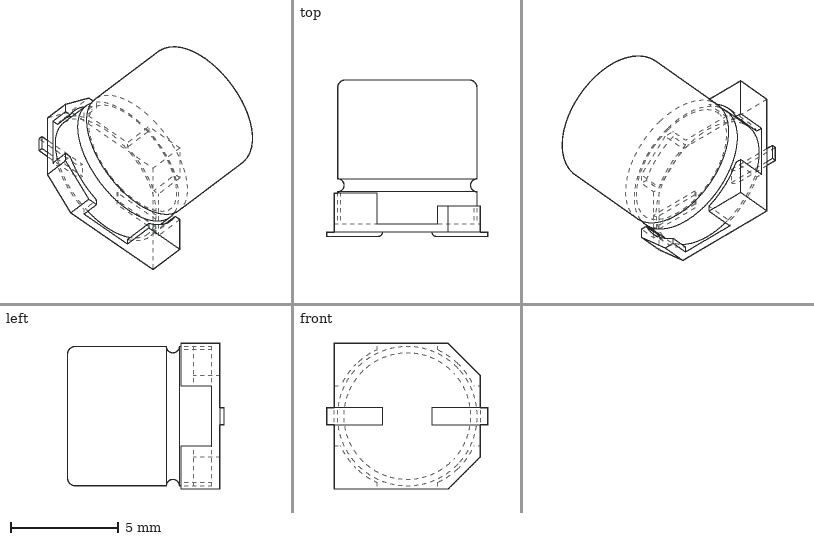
import cadquery as cq
import math


base_side = 6.8
corner_chamfer = 1.5
floor_thickness = 0.375
tall_post_top = 1.815
short_post_top = 1.22
seat_radius = base_side / 2
opening_width = 2.8

can_diameter = 6.5
can_radius = can_diameter / 2
can_rim_fillet = 0.375
groove_radius = 0.3
groove_center_y = 2.18

lead_span = 7.5
lead_length = 2.6
lead_width = 0.8
lead_thickness = 0.2

overall_length = 7.3
can_top = overall_length - lead_thickness


def block(x_range, y_range, z_range):
    """Box between the given limits on each axis."""
    size_x = x_range[1] - x_range[0]
    size_y = y_range[1] - y_range[0]
    size_z = z_range[1] - z_range[0]
    corner = (x_range[0], y_range[0], z_range[0])
    return cq.Workplane("XY").box(size_x, size_y, size_z, centered=False).translate(corner)


def make_base():
    """Square base with two chamfered corners and four posts around the can."""
    half_side = base_side / 2
    half_opening = opening_width / 2
    full_side = (-half_side, half_side)
    opening = (-half_opening, half_opening)
    above_floor = (floor_thickness, tall_post_top)

    base = block(full_side, (0, tall_post_top), full_side)
    base = base.edges("|Y and >X").chamfer(corner_chamfer)

    base = base.cut(block(full_side, above_floor, opening))
    base = base.cut(block(opening, above_floor, full_side))

    base = base.cut(block((half_opening, half_side), (short_post_top, tall_post_top), full_side))

    seat = (
        cq.Workplane("XZ", origin=(0, floor_thickness, 0))
        .circle(seat_radius)
        .extrude(floor_thickness - tall_post_top)
    )
    return base.cut(seat)


def make_can():
    """Revolved can with a crimp groove and a rounded closed end."""
    rim_center_x = can_radius - can_rim_fillet
    rim_center_y = can_top - can_rim_fillet
    rim_diagonal = can_rim_fillet * math.sqrt(0.5)
    return (
        cq.Workplane("XY")
        .moveTo(0, floor_thickness)
        .lineTo(can_radius, floor_thickness)
        .lineTo(can_radius, groove_center_y - groove_radius)
        .threePointArc(
            (can_radius - groove_radius, groove_center_y),
            (can_radius, groove_center_y + groove_radius),
        )
        .lineTo(can_radius, rim_center_y)
        .threePointArc(
            (rim_center_x + rim_diagonal, rim_center_y + rim_diagonal),
            (rim_center_x, can_top),
        )
        .lineTo(0, can_top)
        .close()
        .revolve(360, (0, 0, 0), (0, 1, 0))
    )


def make_lead(side):
    """Flat lead under the base; side is -1 or +1 along X."""
    outer_x = lead_span / 2
    inner_x = outer_x - lead_length
    arc_center_x = inner_x + lead_thickness
    arc_diagonal = lead_thickness * math.sqrt(0.5)
    return (
        cq.Workplane("XY")
        .moveTo(side * inner_x, 0)
        .lineTo(side * outer_x, 0)
        .lineTo(side * outer_x, -lead_thickness)
        .lineTo(side * arc_center_x, -lead_thickness)
        .threePointArc(
            (side * (arc_center_x - arc_diagonal), -arc_diagonal),
            (side * inner_x, 0),
        )
        .close()
        .extrude(lead_width / 2, both=True)
    )


base = make_base()
can = make_can()
leads = [make_lead(side) for side in (-1, 1)]

result = cq.Compound.makeCompound([base.val(), can.val(), *[lead.val() for lead in leads]])